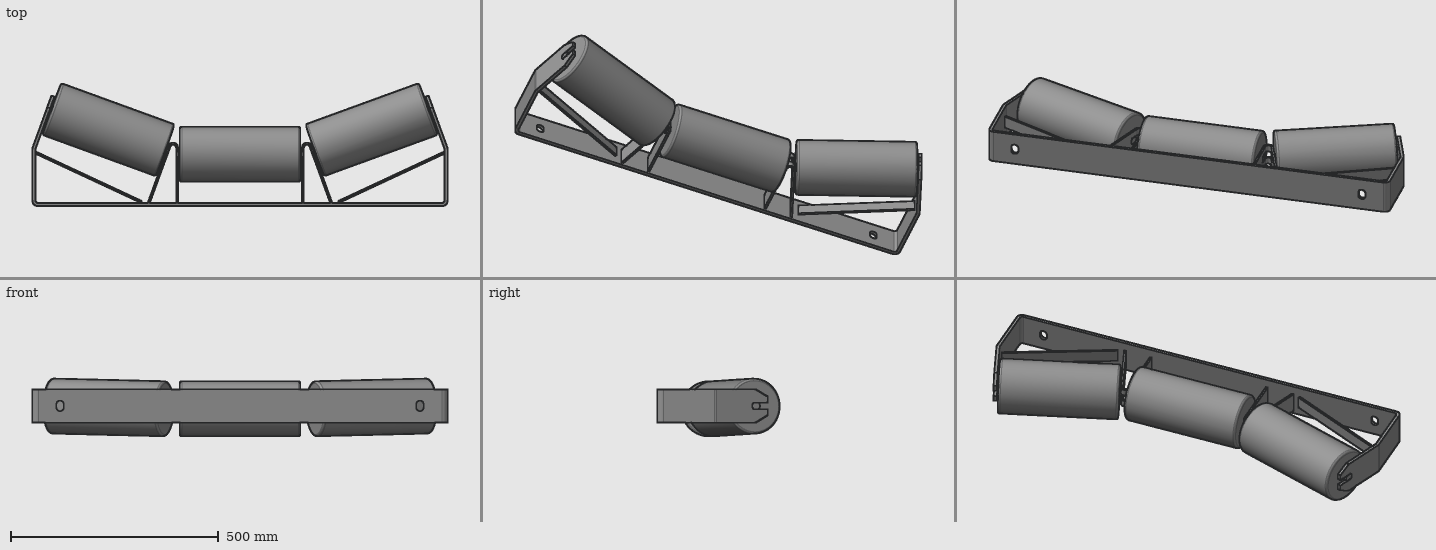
import cadquery as cq
import math


TROUGH_ANGLE = 20.0

FRAME_LENGTH = 1000.0
FRAME_WIDTH = 80.0
FRAME_SHEET = 8.0
FRAME_BEND_RADIUS = 6.0
END_WALL_HEIGHT = 138.65
TIP_HEIGHT = 265.0
TIP_TAPER_LENGTH = 30.0
TIP_TAPER_ANGLE = 30.0
MOUNTING_HOLE_SPACING = 866.0
MOUNTING_HOLE_WIDTH = 18.0
MOUNTING_HOLE_LENGTH = 25.0

ROLLER_DIAMETER = 133.0
ROLLER_LENGTH = 290.0
ROLLER_EDGE_RADIUS = 5.0
ROLLER_GAP = 4.0
SHAFT_DIAMETER = 20.0
SHAFT_FLATS = 16.0
CENTRE_AXIS_Y = 125.0
WING_CENTRE_Y = 184.33
AXIS_DROP = 7.0

BRACKET_WIDTH = 50.0
BRACKET_SHEET = 5.0
BRACKET_BEND_RADIUS = 7.0

BRACE_LENGTH = 280.0
BRACE_WIDTH = 30.0
BRACE_SHEET = 5.0
BRACE_ANGLE = 25.0

SIN_TROUGH = math.sin(math.radians(TROUGH_ANGLE))
COS_TROUGH = math.cos(math.radians(TROUGH_ANGLE))
TAN_TROUGH = math.tan(math.radians(TROUGH_ANGLE))

END_WALL_X = (FRAME_LENGTH - FRAME_SHEET) / 2
TIP_X = END_WALL_X - (TIP_HEIGHT - END_WALL_HEIGHT) * TAN_TROUGH

SUPPORT_FACE = ROLLER_LENGTH / 2 + ROLLER_GAP
BRACKET_REACH = SUPPORT_FACE + BRACKET_SHEET
WALL_REACH = SUPPORT_FACE + FRAME_SHEET
BRACKET_MIDDLE = SUPPORT_FACE + BRACKET_SHEET / 2
WALL_MIDDLE = SUPPORT_FACE + FRAME_SHEET / 2

WING_CENTRE_X = (
    END_WALL_X
    - (WING_CENTRE_Y - END_WALL_HEIGHT) * TAN_TROUGH
    - WALL_MIDDLE / COS_TROUGH
)
WING_DROP_PER_LENGTH = AXIS_DROP / (BRACKET_REACH + WALL_REACH)

CENTRE_PLACE = cq.Location(cq.Vector(0, CENTRE_AXIS_Y, -AXIS_DROP))

left_axis = cq.Vector(COS_TROUGH, -SIN_TROUGH, -WING_DROP_PER_LENGTH)
up_the_wall = cq.Vector(SIN_TROUGH, COS_TROUGH, 0)
LEFT_WING_PLACE = cq.Location(
    cq.Plane(
        origin=(-WING_CENTRE_X, WING_CENTRE_Y, -WING_DROP_PER_LENGTH * WALL_REACH),
        xDir=left_axis,
        normal=left_axis.cross(up_the_wall),
    )
)


def mirrored(body):
    """Copy of a body at the other end of the frame."""
    return body.mirror("YZ")


def bent_strip(points, sheet, inner_radius, width, z_centre):
    """Strip whose mid-thickness follows a line of points in the XY plane, with rounded bends."""
    path = cq.Wire.makePolygon([cq.Vector(x, y, z_centre) for x, y in points])
    path = path.fillet(inner_radius + sheet / 2, path.Vertices()[1:-1])
    start = cq.Vector(*points[0], z_centre)
    direction = cq.Vector(*points[1], z_centre) - start
    section = cq.Workplane(cq.Plane(start, cq.Vector(0, 0, 1), direction)).rect(width, sheet)
    return section.sweep(cq.Workplane(obj=path))


def shaft(left_reach, right_reach):
    """Round bar along X with two flats facing up and down."""
    length = left_reach + right_reach
    bar = cq.Workplane("YZ", origin=(-left_reach, 0, 0)).circle(SHAFT_DIAMETER / 2).extrude(length)
    flats = cq.Workplane("YZ", origin=(-left_reach, 0, 0)).rect(SHAFT_DIAMETER, SHAFT_FLATS)
    return bar.intersect(flats.extrude(length))


def roller(left_reach, right_reach):
    drum = cq.Workplane("YZ", origin=(-ROLLER_LENGTH / 2, 0, 0))
    drum = drum.circle(ROLLER_DIAMETER / 2).extrude(ROLLER_LENGTH)
    drum = drum.edges().fillet(ROLLER_EDGE_RADIUS)
    return drum.union(shaft(left_reach, right_reach))


def shaft_slots(place):
    """Cutter for the open slots at both ends of one shaft; it runs on through the bracket folds."""
    half_length = WALL_REACH + 2 * BRACKET_SHEET
    opening_depth = 3 * SHAFT_DIAMETER
    opening = cq.Workplane("XY").box(
        2 * half_length, opening_depth, SHAFT_FLATS, centered=(True, False, True)
    )
    cutter = shaft(half_length, half_length).union(opening)
    return cq.Workplane(obj=cutter.val().moved(place))


def mounting_holes():
    return (
        cq.Workplane("XZ")
        .pushPoints([(-MOUNTING_HOLE_SPACING / 2, 0), (MOUNTING_HOLE_SPACING / 2, 0)])
        .slot2D(MOUNTING_HOLE_LENGTH, MOUNTING_HOLE_WIDTH, 90)
        .extrude(-FRAME_SHEET)
    )


def left_tip_taper():
    """Two wedges, drawn in the plane of the leaning wall, that narrow its tip."""
    wall = cq.Plane(
        origin=(-TIP_X, TIP_HEIGHT, 0),
        xDir=up_the_wall,
        normal=(-COS_TROUGH, SIN_TROUGH, 0),
    )
    edge = FRAME_WIDTH / 2
    tip_edge = edge - TIP_TAPER_LENGTH * math.tan(math.radians(TIP_TAPER_ANGLE))
    upper = [(-TIP_TAPER_LENGTH, edge), (0, edge), (0, tip_edge)]
    lower = [(x, -y) for x, y in upper]
    wedges = cq.Workplane(wall).polyline(upper).close().polyline(lower).close()
    return wedges.extrude(FRAME_SHEET, both=True)


def frame():
    right_half = [
        (END_WALL_X, FRAME_SHEET / 2),
        (END_WALL_X, END_WALL_HEIGHT),
        (TIP_X, TIP_HEIGHT),
    ]
    left_half = [(-x, y) for x, y in reversed(right_half)]
    strip = bent_strip(left_half + right_half, FRAME_SHEET, FRAME_BEND_RADIUS, FRAME_WIDTH, 0)
    strip = strip.cut(mounting_holes())
    for left_cutter in (left_tip_taper(), shaft_slots(LEFT_WING_PLACE)):
        strip = strip.cut(left_cutter).cut(mirrored(left_cutter))
    return strip


def left_bracket():
    upright_x = -BRACKET_MIDDLE
    crossing_x = -WING_CENTRE_X + BRACKET_MIDDLE * COS_TROUGH
    crossing_y = WING_CENTRE_Y - BRACKET_MIDDLE * SIN_TROUGH
    apex_y = crossing_y + (upright_x - crossing_x) / TAN_TROUGH
    foot_x = crossing_x - crossing_y * TAN_TROUGH
    points = [(upright_x, 0), (upright_x, apex_y), (foot_x, 0)]
    bracket = bent_strip(points, BRACKET_SHEET, BRACKET_BEND_RADIUS, BRACKET_WIDTH, -AXIS_DROP)

    below_base_top = cq.Workplane("XY").box(FRAME_LENGTH, 2 * FRAME_SHEET, FRAME_WIDTH)
    bracket = bracket.cut(below_base_top)
    for place in (CENTRE_PLACE, LEFT_WING_PLACE):
        bracket = bracket.cut(shaft_slots(place))
    return bracket


def left_brace():
    bar = cq.Workplane("XY").box(
        BRACE_LENGTH, BRACE_SHEET, BRACE_WIDTH, centered=(False, False, True)
    )
    bar = bar.rotate((0, 0, 0), (0, 0, 1), -BRACE_ANGLE)
    rise = BRACE_LENGTH * math.sin(math.radians(BRACE_ANGLE))
    return bar.translate((FRAME_SHEET - FRAME_LENGTH / 2, FRAME_SHEET + rise, 0))


bracket = left_bracket()
brace = left_brace()
centre_roller = roller(BRACKET_REACH, BRACKET_REACH).val().moved(CENTRE_PLACE)
wing_roller = roller(WALL_REACH, BRACKET_REACH).val().moved(LEFT_WING_PLACE)

result = cq.Compound.makeCompound(
    [
        frame().val(),
        bracket.val(),
        mirrored(bracket).val(),
        brace.val(),
        mirrored(brace).val(),
        centre_roller,
        wing_roller,
        mirrored(wing_roller),
    ]
)